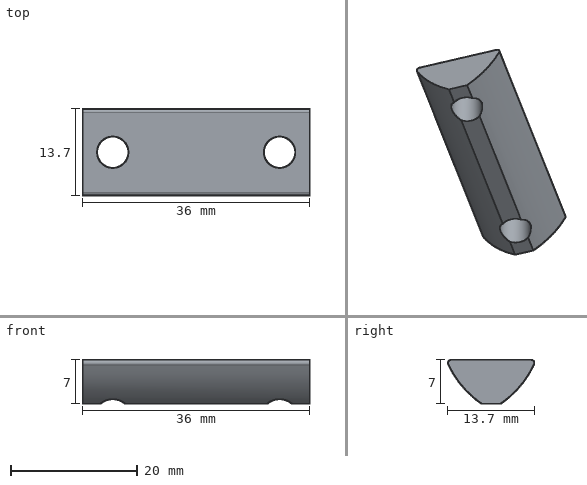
import cadquery as cq
import math

length = 36.0
width = 13.7
height = 7.0

bottom_flat_width = 3.02
edge_radius = 0.55
edge_end_angle = 25.0

hole_diameter = 4.95
hole_spacing = 26.42

edge_center_y = width / 2 - edge_radius
edge_center_z = -edge_radius


def edge_point(angle):
    """Point on the rounded edge at an angle in degrees above horizontal."""
    turn = math.radians(angle)
    return (
        edge_center_y + edge_radius * math.cos(turn),
        edge_center_z + edge_radius * math.sin(turn),
    )


def make_bar():
    """Bar along X whose bulging flanks run tangent from the rounded edges to the bottom flat."""
    half_section = (
        cq.Workplane("YZ")
        .moveTo(0, 0)
        .lineTo(edge_center_y, 0)
        .threePointArc(edge_point(0), edge_point(-edge_end_angle))
        .tangentArcPoint(cq.Vector(bottom_flat_width / 2, -height), relative=False)
        .lineTo(0, -height)
        .close()
    )
    half_bar = half_section.extrude(length / 2, both=True)
    return half_bar.union(half_bar.mirror("XZ"))


def make_holes():
    """Pair of vertical cutters, placed symmetrically along the bar."""
    return (
        cq.Workplane("XY")
        .pushPoints([(-hole_spacing / 2, 0), (hole_spacing / 2, 0)])
        .circle(hole_diameter / 2)
        .extrude(-height)
    )


result = make_bar().cut(make_holes())